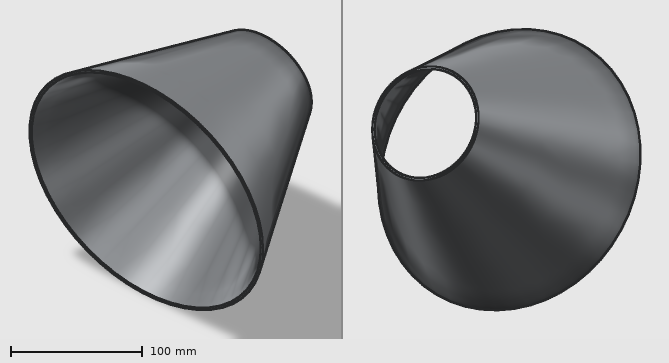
import cadquery as cq
import math

large_outer_diameter = 219.1
small_outer_diameter = 88.9
wall_thickness = 2.0
length = 152.0

large_outer_radius = large_outer_diameter / 2
small_outer_radius = small_outer_diameter / 2

half_cone_angle = math.atan((large_outer_radius - small_outer_radius) / length)
radial_wall = wall_thickness / math.cos(half_cone_angle)
large_inner_radius = large_outer_radius - radial_wall
small_inner_radius = small_outer_radius - radial_wall


def conical_shell():
    """Revolve the slanted wall section about the Y axis, leaving both ends open."""
    wall_section = (
        cq.Workplane("XY")
        .moveTo(large_inner_radius, 0)
        .lineTo(large_outer_radius, 0)
        .lineTo(small_outer_radius, length)
        .lineTo(small_inner_radius, length)
        .close()
    )
    return wall_section.revolve(360, (0, 0, 0), (0, 1, 0))


result = conical_shell()